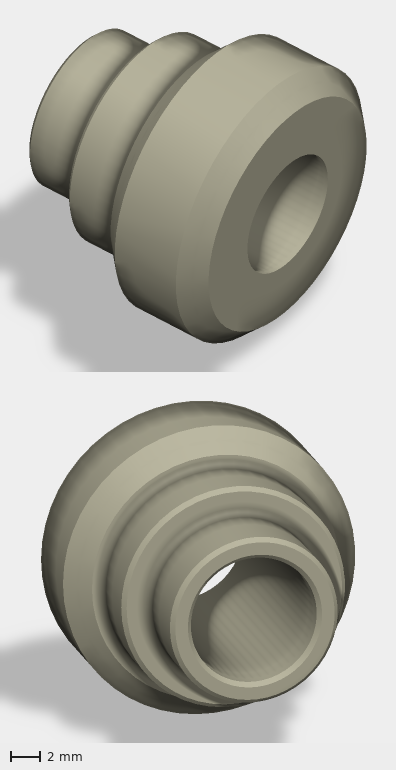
import cadquery as cq
import math

bore_diameter = 9.0
nose_diameter = 12.0
shoulder_diameter = 16.0
head_diameter = 20.9

nose_length = 5.0
shoulder_length = 4.5
head_length = 8.5

edge_chamfer = 0.3
head_chamfer = 1.6
root_fillet = 0.5

shoulder_x = nose_length
head_x = shoulder_x + shoulder_length
end_x = head_x + head_length
bore_radius = bore_diameter / 2
nose_radius = nose_diameter / 2
shoulder_radius = shoulder_diameter / 2
head_radius = head_diameter / 2


def add_step(profile, start_x, step_face_x, radius):
    """Trace a chamfered cylinder from its start face to the fillet on the next step face."""
    arc_inset = root_fillet * (1 - math.sqrt(0.5))
    return (
        profile.lineTo(start_x, radius - edge_chamfer)
        .lineTo(start_x + edge_chamfer, radius)
        .lineTo(step_face_x - root_fillet, radius)
        .threePointArc(
            (step_face_x - arc_inset, radius + arc_inset),
            (step_face_x, radius + root_fillet),
        )
    )


def add_head(profile):
    """Trace the head with a chamfer on each rim, ending on the large end face."""
    return (
        profile.lineTo(head_x, head_radius - head_chamfer)
        .lineTo(head_x + head_chamfer, head_radius)
        .lineTo(end_x - head_chamfer, head_radius)
        .lineTo(end_x, head_radius - head_chamfer)
    )


def add_bore(profile):
    """Trace the through bore back to its chamfered entry in the small end face."""
    return (
        profile.lineTo(end_x, bore_radius)
        .lineTo(edge_chamfer, bore_radius)
        .close()
    )


half_section = cq.Workplane("XY").moveTo(0, bore_radius + edge_chamfer)
half_section = add_step(half_section, 0, shoulder_x, nose_radius)
half_section = add_step(half_section, shoulder_x, head_x, shoulder_radius)
half_section = add_head(half_section)
half_section = add_bore(half_section)

result = half_section.revolve(360, (0, 0, 0), (1, 0, 0))